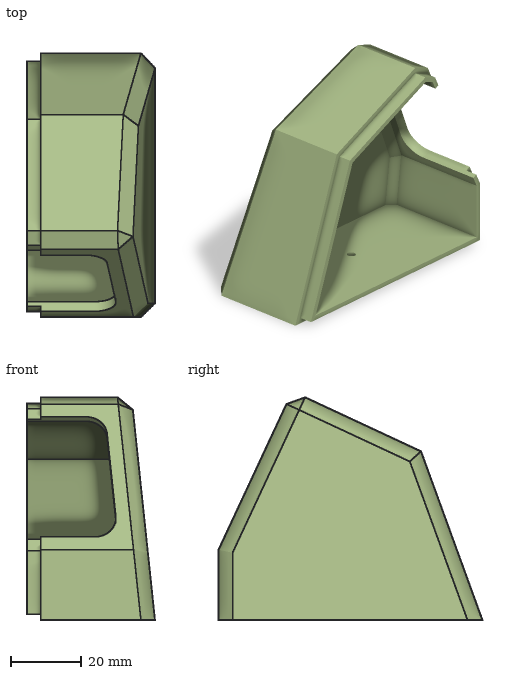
import cadquery as cq
import math

BASE_LENGTH = 75.0
FRONT_HEIGHT = 20.0
APEX_HEIGHT = 65.0
FRONT_SLOPE = math.radians(65)
REAR_SLOPE = math.radians(70)

OVERALL_WIDTH = 36.4
END_TILT = math.radians(6)
EDGE_CHAMFER = 4.0
WALL = 3.0
RIM_WIDTH = 3.9
RIM_STEP = 1.6

WINDOW_MARGIN = 4.0
WINDOW_RADIUS = 6.0

HOLE_DIAMETER = 2.5
HOLE_X = RIM_WIDTH + 15.0
HOLE_Y = 35.0

APEX_Y = (APEX_HEIGHT - FRONT_HEIGHT) / math.tan(FRONT_SLOPE)
SLOPE_LENGTH = (APEX_HEIGHT - FRONT_HEIGHT) / math.sin(FRONT_SLOPE)
ROOF_FALL = 1 / math.tan(FRONT_SLOPE)
REAR_RUN = 1 / math.tan(REAR_SLOPE)
REAR_TOP_Z = (APEX_HEIGHT - ROOF_FALL * (BASE_LENGTH - APEX_Y)) / (1 - ROOF_FALL * REAR_RUN)
REAR_TOP_Y = BASE_LENGTH - REAR_TOP_Z * REAR_RUN


def end_x(z):
    """X of the tilted closed end at height z."""
    return OVERALL_WIDTH - z * math.tan(END_TILT)


def side_prism(width):
    """Solid with the full side outline, extruded from X = 0."""
    outline = [
        (0, 0),
        (BASE_LENGTH, 0),
        (REAR_TOP_Y, REAR_TOP_Z),
        (APEX_Y, APEX_HEIGHT),
        (0, FRONT_HEIGHT),
    ]
    return cq.Workplane("YZ").polyline(outline).close().extrude(width)


def outer_body():
    """Solid body with the tilted end and its chamfers."""
    end_limit = (
        cq.Workplane("XZ")
        .polyline([(0, 0), (end_x(0), 0), (end_x(APEX_HEIGHT), APEX_HEIGHT), (0, APEX_HEIGHT)])
        .close()
        .extrude(-BASE_LENGTH)
    )
    body = side_prism(OVERALL_WIDTH).intersect(end_limit)
    end_edges = body.faces(">X").edges("not(<Z)")
    apex_edge = body.edges("|X").edges(">Z")
    return end_edges.add(apex_edge).chamfer(EDGE_CHAMFER)


def rim_step(body):
    """Ring to remove around the open end so that the plug rim remains."""
    open_outline = body.faces("<X").wires().toPending()
    rim_core = open_outline.offset2D(-RIM_STEP).extrude(RIM_WIDTH, combine=False)
    return side_prism(RIM_WIDTH).cut(rim_core)


def window():
    """Cutter for the rounded window, open towards X = 0, square to the sloped front."""
    slope_plane = cq.Plane(
        origin=(0, 0, FRONT_HEIGHT),
        xDir=(1, 0, 0),
        normal=(0, -math.sin(FRONT_SLOPE), math.cos(FRONT_SLOPE)),
    )
    bottom = WINDOW_MARGIN
    top = SLOPE_LENGTH - EDGE_CHAMFER - WINDOW_MARGIN
    inset_from_end = (EDGE_CHAMFER + WINDOW_MARGIN) / math.cos(END_TILT)

    def side_x(distance_up):
        return end_x(FRONT_HEIGHT + distance_up * math.sin(FRONT_SLOPE)) - inset_from_end

    return (
        cq.Workplane(slope_plane)
        .polyline([(0, bottom), (side_x(bottom), bottom), (side_x(top), top), (0, top)])
        .close()
        .extrude(-2 * WALL)
        .edges(cq.selectors.ParallelDirSelector(slope_plane.zDir))
        .edges("not <X")
        .fillet(WINDOW_RADIUS)
    )


def floor_hole():
    """Cutter for the screw hole through the floor."""
    return cq.Workplane("XY").center(HOLE_X, HOLE_Y).circle(HOLE_DIAMETER / 2).extrude(WALL)


solid_body = outer_body()
hollow_body = solid_body.faces("<X").shell(-WALL, kind="intersection")
result = hollow_body.cut(rim_step(solid_body)).cut(window()).cut(floor_hole())